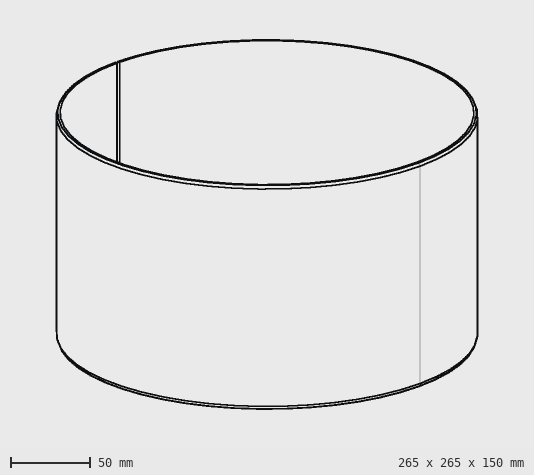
import cadquery as cq

outer_diameter = 265.0
height = 150.0
wall = 2.5
bevel_height = 2.0
bevel_depth = 0.8
slit_width = 2.0

outer_radius = outer_diameter / 2
inner_radius = outer_radius - wall

rim_radius = outer_radius - bevel_depth
sleeve_profile = [
    (inner_radius, 0),
    (rim_radius, 0),
    (outer_radius, bevel_height),
    (outer_radius, height - bevel_height),
    (rim_radius, height),
    (inner_radius, height),
]
sleeve = (
    cq.Workplane("XZ")
    .polyline(sleeve_profile)
    .close()
    .revolve(360, (0, 0, 0), (0, 1, 0))
)

slit = (
    cq.Workplane("XY")
    .box(outer_radius, slit_width, height, centered=False)
    .translate((-outer_radius, 0, 0))
)
result = sleeve.cut(slit)